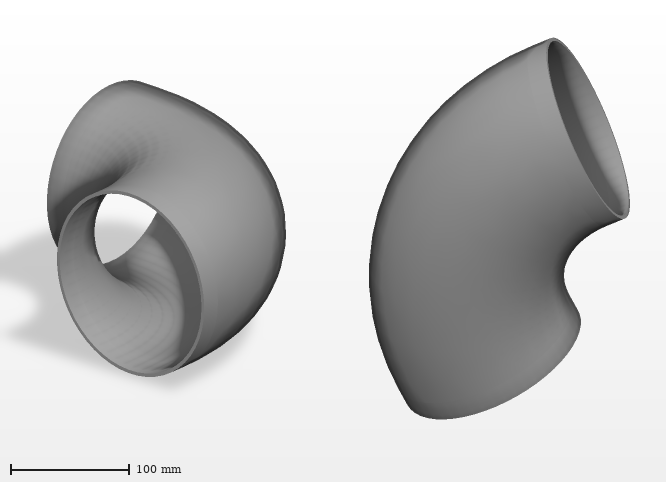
import cadquery as cq

overall_length = 252.5
outer_diameter = 165.2
inner_diameter = 159.1
collar_length = 17.7
bend_angle = 90.0

bend_radius = overall_length - collar_length - outer_diameter / 2


def ring_section(workplane):
    """Draw the pipe wall as two concentric circles."""
    return workplane.circle(outer_diameter / 2).circle(inner_diameter / 2)


bend = ring_section(cq.Workplane("XZ").center(bend_radius, 0)).revolve(
    bend_angle, (-bend_radius, 0, 0), (-bend_radius, 1, 0)
)

front_collar = ring_section(cq.Workplane("XZ").center(bend_radius, 0)).extrude(collar_length)
left_collar = ring_section(cq.Workplane("YZ").center(bend_radius, 0)).extrude(-collar_length)

result = bend.union(front_collar).union(left_collar)